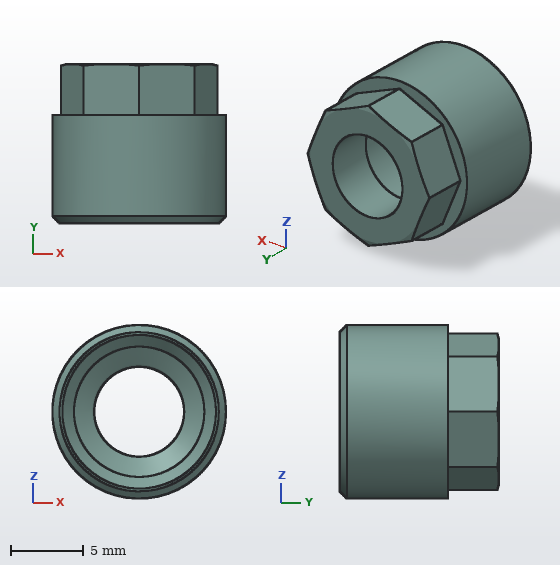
import cadquery as cq
import math

body_radius = 6.0
body_length = 7.5
body_chamfer = 0.5
total_length = 11.0

head_sides = 8
head_across_flats = 10.0
head_corner_diameter = head_across_flats / math.cos(math.pi / head_sides)
head_end_radius = head_across_flats / 2
head_chamfer_angle = 15.0

mouth_radius = 5.3
socket_radius = 4.5
mouth_depth = mouth_radius - socket_radius
seat_start = 6.5
seat_half_angle = math.radians(60.0)
hole_radius = 3.1
hole_edge_round = 0.3

seat_end_radius = hole_radius + hole_edge_round * (1 - math.cos(seat_half_angle))
seat_end = seat_start + (socket_radius - seat_end_radius) / math.tan(seat_half_angle)
round_center_radius = hole_radius + hole_edge_round
round_center_y = seat_end + hole_edge_round * math.sin(seat_half_angle)


def revolve_about_y(points):
    """Turn a closed (radius, Y) outline about the Y axis."""
    return cq.Workplane("XY").polyline(points).close().revolve(360, (0, 0, 0), (0, 1, 0))


def make_body():
    return revolve_about_y([
        (0, 0),
        (body_radius - body_chamfer, 0),
        (body_radius, body_chamfer),
        (body_radius, body_length),
        (0, body_length),
    ])


def make_head():
    prism = (
        cq.Workplane("XZ")
        .polygon(head_sides, head_corner_diameter)
        .extrude(-total_length)
    )
    chamfer_drop = (body_radius - head_end_radius) * math.tan(math.radians(head_chamfer_angle))
    envelope = revolve_about_y([
        (0, body_length),
        (body_radius, body_length),
        (body_radius, total_length - chamfer_drop),
        (head_end_radius, total_length),
        (0, total_length),
    ])
    return prism.intersect(envelope)


def make_bore():
    round_middle = (
        round_center_radius - hole_edge_round * math.cos(seat_half_angle / 2),
        round_center_y - hole_edge_round * math.sin(seat_half_angle / 2),
    )
    return (
        cq.Workplane("XY")
        .lineTo(mouth_radius, 0)
        .lineTo(socket_radius, mouth_depth)
        .lineTo(socket_radius, seat_start)
        .lineTo(seat_end_radius, seat_end)
        .threePointArc(round_middle, (hole_radius, round_center_y))
        .lineTo(hole_radius, total_length)
        .lineTo(0, total_length)
        .close()
        .revolve(360, (0, 0, 0), (0, 1, 0))
    )


result = make_body().union(make_head()).cut(make_bore())